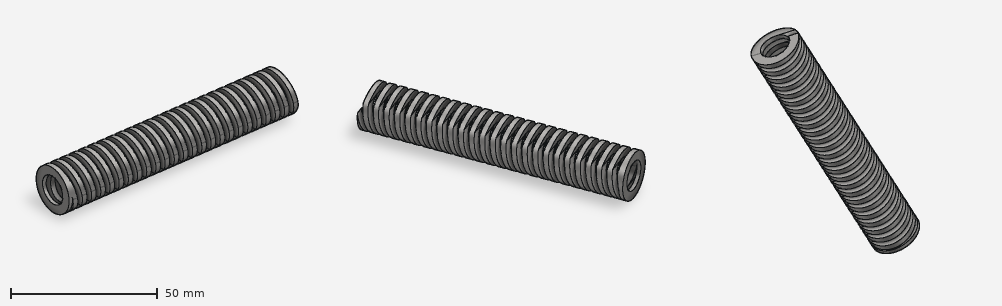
import cadquery as cq

length = 100.0
outer_diameter = 18.0
bore_diameter = 11.0
pitch = 4.0
strand_width = 2.0
end_ring_thickness = 1.5
cutter_margin = 1.0

outer_radius = outer_diameter / 2
bore_radius = bore_diameter / 2
half_turn = pitch / 2
gap_width = pitch - strand_width
bend_height = bore_radius
slope = half_turn / (2 * bend_height)
cutter_reach = outer_radius + cutter_margin

plus_y_end = length / 2
first_gap_y = plus_y_end + gap_width / 2
gap_count = int(length / pitch) + 1


def make_tube(start_y, tube_length):
    """Tube running from start_y toward -Y."""
    plane = cq.Workplane("XZ", origin=(0, start_y, 0))
    return plane.circle(outer_radius).circle(bore_radius).extrude(tube_length)


def make_gap(rim_y, side):
    """Gap through one half of the tube; side is -1 for the -X half, +1 for the +X half.

    rim_y is the gap centre on the bottom rim. The bend lies above the axis on the -X half
    and below it on the +X half. From the bend, both legs of the gap lean toward -Y.
    """
    bend_z = -side * bend_height
    bend_y = rim_y + slope * (outer_radius + bend_z)
    centre_line = [
        (bend_y - slope * (cutter_reach + bend_z), -cutter_reach),
        (bend_y, bend_z),
        (bend_y - slope * (cutter_reach - bend_z), cutter_reach),
    ]
    plus_edge = [(y + gap_width / 2, z) for y, z in centre_line]
    minus_edge = [(y - gap_width / 2, z) for y, z in reversed(centre_line)]
    outline = cq.Workplane("YZ").polyline(plus_edge + minus_edge).close()
    return outline.extrude(side * cutter_reach)


spring = make_tube(plus_y_end, length)
for index in range(gap_count):
    gap_y = first_gap_y - index * pitch
    for side in (-1, 1):
        spring = spring.cut(make_gap(gap_y, side))

end_ring = make_tube(end_ring_thickness - plus_y_end, end_ring_thickness)

result = spring.union(end_ring).clean()